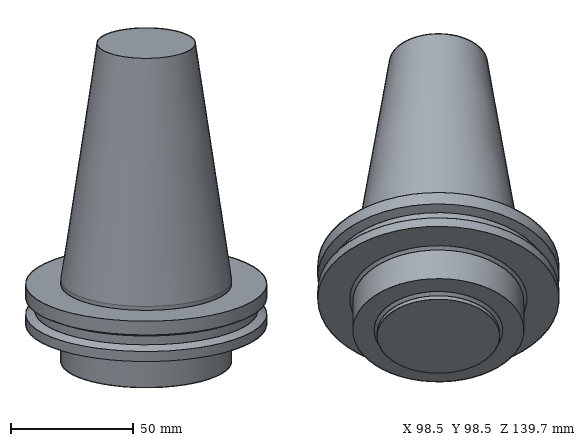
import cadquery as cq

flange_diameter = 98.5
groove_diameter = 91.2
body_diameter = 69.8
spigot_diameter = 50.0

total_height = 139.7
body_bottom = 3.1
flange_bottom = 19.0
groove_bottom = 23.3
groove_top = 30.5
flange_top = 36.3
taper_base = 38.0

taper_ratio = 7 / 24
groove_flank_height = 1.7
neck_flare = 1.3

flange_radius = flange_diameter / 2
groove_radius = groove_diameter / 2
body_radius = body_diameter / 2
spigot_radius = spigot_diameter / 2
tip_radius = body_radius - (total_height - taper_base) * taper_ratio / 2

half_section = [
    (0, 0),
    (spigot_radius, 0),
    (spigot_radius, body_bottom - neck_flare),
    (spigot_radius + neck_flare, body_bottom),
    (body_radius, body_bottom),
    (body_radius, flange_bottom - neck_flare),
    (body_radius + neck_flare, flange_bottom),
    (flange_radius, flange_bottom),
    (flange_radius, groove_bottom),
    (groove_radius, groove_bottom + groove_flank_height),
    (groove_radius, groove_top - groove_flank_height),
    (flange_radius, groove_top),
    (flange_radius, flange_top),
    (body_radius, flange_top),
    (body_radius, taper_base),
    (tip_radius, total_height),
    (0, total_height),
]

result = cq.Workplane("XZ").polyline(half_section).close().revolve(360, (0, 0, 0), (0, 1, 0))